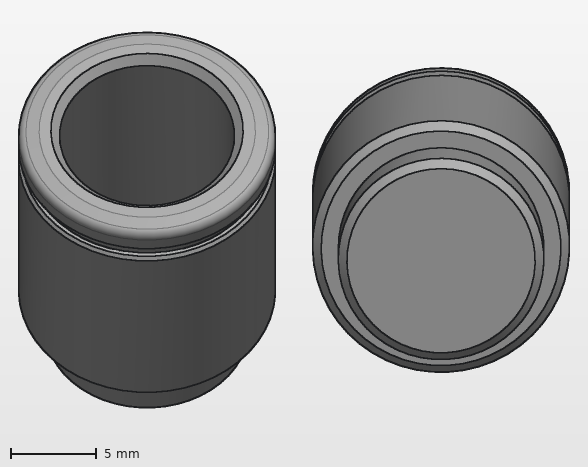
import cadquery as cq
import math

total_height = 19.5
outer_diameter = 15.0
edge_chamfer = 0.5

bore_diameter = 10.2
neck_diameter = 13.6
flange_height = 1.5
exposed_neck_height = 1.0
rim_flat_diameter = 12.62
rim_slope = math.radians(10)
rim_fillet = 0.5

barrel_length = 13.5
stub_diameter = 12.0
recess_diameter = 13.7
mouth_chamfer = 0.2
lead_in_width = 0.2
lead_in_depth = 0.35
floor_thickness = 1.0

outer_radius = outer_diameter / 2
flange_bottom_z = total_height - flange_height
housing_top_z = flange_bottom_z - exposed_neck_height
shoulder_z = housing_top_z - barrel_length
recess_floor_z = shoulder_z + floor_thickness


def revolve_section(section):
    """Turn a closed half section in the XZ plane into a solid around the Z axis."""
    return section.revolve(360, (0, 0, 0), (0, 1, 0))


def make_housing():
    stub_radius = stub_diameter / 2
    recess_radius = recess_diameter / 2

    section = (
        cq.Workplane("XZ")
        .moveTo(0, 0)
        .lineTo(stub_radius - edge_chamfer, 0)
        .lineTo(stub_radius, edge_chamfer)
        .lineTo(stub_radius, shoulder_z)
        .lineTo(outer_radius - edge_chamfer, shoulder_z)
        .lineTo(outer_radius, shoulder_z + edge_chamfer)
        .lineTo(outer_radius, housing_top_z - mouth_chamfer)
        .lineTo(outer_radius - mouth_chamfer, housing_top_z)
        .lineTo(recess_radius + lead_in_width, housing_top_z)
        .lineTo(recess_radius, housing_top_z - lead_in_depth)
        .lineTo(recess_radius, recess_floor_z)
        .lineTo(0, recess_floor_z)
        .close()
    )
    return revolve_section(section)


def make_sleeve():
    bore_radius = bore_diameter / 2
    neck_radius = neck_diameter / 2
    rim_flat_radius = rim_flat_diameter / 2

    fillet_centre_r = outer_radius - rim_fillet
    fillet_top_r = fillet_centre_r + rim_fillet * math.sin(rim_slope)
    fillet_top_z = total_height - (fillet_top_r - rim_flat_radius) * math.tan(rim_slope)
    fillet_centre_z = fillet_top_z - rim_fillet * math.cos(rim_slope)
    mid_angle = (math.pi / 2 - rim_slope) / 2
    fillet_mid = (
        fillet_centre_r + rim_fillet * math.cos(mid_angle),
        fillet_centre_z + rim_fillet * math.sin(mid_angle),
    )

    section = (
        cq.Workplane("XZ")
        .moveTo(bore_radius, recess_floor_z)
        .lineTo(neck_radius, recess_floor_z)
        .lineTo(neck_radius, flange_bottom_z)
        .lineTo(outer_radius, flange_bottom_z)
        .lineTo(outer_radius, fillet_centre_z)
        .threePointArc(fillet_mid, (fillet_top_r, fillet_top_z))
        .lineTo(rim_flat_radius, total_height)
        .lineTo(bore_radius + edge_chamfer, total_height)
        .lineTo(bore_radius, total_height - edge_chamfer)
        .close()
    )
    return revolve_section(section)


housing = make_housing()
sleeve = make_sleeve()

result = cq.Compound.makeCompound([housing.val(), sleeve.val()])